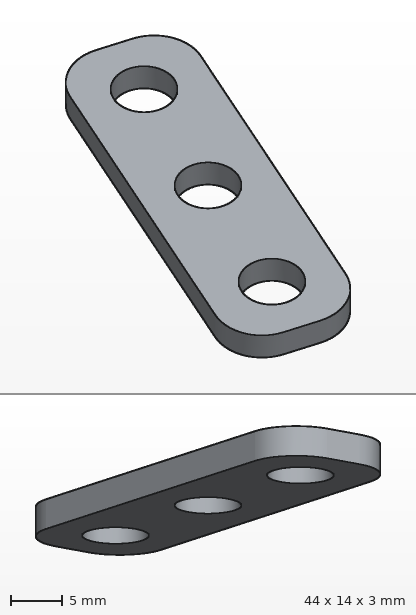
import cadquery as cq

length = 44.0
width = 14.0
thickness = 3.0
corner_radius = 5.0

hole_diameter = 6.5
hole_spacing = 15.0
hole_centres = [(step * hole_spacing, 0) for step in (-1, 0, 1)]

plate = cq.Workplane("XY").box(length, width, thickness).edges("|Z").fillet(corner_radius)

result = plate.faces(">Z").workplane().pushPoints(hole_centres).hole(hole_diameter)